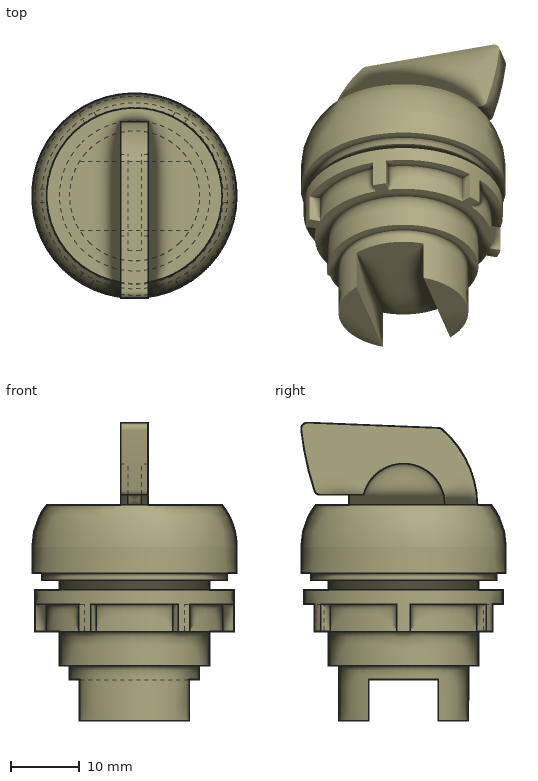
import cadquery as cq
import math

LEG_HEIGHT = 6.0
BODY_BOTTOM = 8.0
NUT_BOTTOM = 13.0
FLANGE_BOTTOM = 17.0
FLANGE_TOP = 19.1
COLLAR_BOTTOM = 20.5
HEAD_BOTTOM = 21.55
DOME_BOTTOM = 25.35
HEAD_TOP = 31.5

LEG_RADIUS = 9.5
BODY_RADIUS = 10.95
NUT_RADIUS = 12.9
FLANGE_RADIUS = 14.55
COLLAR_RADIUS = 13.57
HEAD_RADIUS = 29.9 / 2
HEAD_TOP_RADIUS = 12.8

LEG_GAP = 10.1

LUG_COUNT = 6
LUG_WIDTH = 1.95

HANDLE_WIDTH = 4.0
HANDLE_UNDERSIDE = 32.95
BACK_BASE_Y = 10.8
BACK_MIDDLE = (9.25, 37.8)
BACK_TOP = (5.4, 42.7)
NOSE_TOP = (-15.05, 43.55)
NOSE_MIDDLE = (-14.15, 37.63)
NOSE_BOTTOM = (-12.8, HANDLE_UNDERSIDE)
HANDLE_ROUND = 0.95
HUB_RADIUS = 6.0
WEB_WIDTH = 2.0
WEB_FRONT_Y = -7.95


def stage(radius, bottom, top):
    """Cylinder about the Z axis between two levels."""
    return cq.Workplane("XY").workplane(offset=bottom).circle(radius).extrude(top - bottom)


def make_head():
    """Cylindrical rim topped by a dome arc that leaves the rim vertically."""
    rise = HEAD_TOP - DOME_BOTTOM
    inset = HEAD_RADIUS - HEAD_TOP_RADIUS
    dome_radius = (rise**2 + inset**2) / (2 * inset)
    half_angle = math.asin(rise / dome_radius) / 2
    dome_middle = (
        HEAD_RADIUS - dome_radius * (1 - math.cos(half_angle)),
        DOME_BOTTOM + dome_radius * math.sin(half_angle),
    )
    return (
        cq.Workplane("XZ")
        .moveTo(0, HEAD_BOTTOM)
        .lineTo(HEAD_RADIUS, HEAD_BOTTOM)
        .lineTo(HEAD_RADIUS, DOME_BOTTOM)
        .threePointArc(dome_middle, (HEAD_TOP_RADIUS, HEAD_TOP))
        .lineTo(0, HEAD_TOP)
        .close()
        .revolve(360, (0, 0, 0), (0, 1, 0))
    )


def make_legs():
    """Bottom stage, split into two legs by a gap running along X."""
    gap = cq.Workplane("XY").box(2 * LEG_RADIUS, LEG_GAP, LEG_HEIGHT, centered=(True, True, False))
    return stage(LEG_RADIUS, 0, BODY_BOTTOM).cut(gap)


def make_nut():
    """Ring with a flange on top and evenly spaced lugs hanging from the flange."""
    nut = stage(NUT_RADIUS, NUT_BOTTOM, FLANGE_TOP)
    nut = nut.union(stage(FLANGE_RADIUS, FLANGE_BOTTOM, FLANGE_TOP))
    lug_limit = stage(FLANGE_RADIUS, NUT_BOTTOM, FLANGE_BOTTOM)
    bar = (
        cq.Workplane("XY")
        .workplane(offset=NUT_BOTTOM)
        .rect(2 * FLANGE_RADIUS, LUG_WIDTH)
        .extrude(FLANGE_BOTTOM - NUT_BOTTOM)
        .intersect(lug_limit)
    )
    for index in range(LUG_COUNT // 2):
        nut = nut.union(bar.rotate((0, 0, 0), (0, 0, 1), index * 360 / LUG_COUNT))
    return nut


def make_handle():
    """Overhanging grip, recessed on both sides around a thin central web."""
    grip = (
        cq.Workplane("YZ")
        .moveTo(BACK_BASE_Y, HEAD_TOP)
        .threePointArc(BACK_MIDDLE, BACK_TOP)
        .lineTo(*NOSE_TOP)
        .threePointArc(NOSE_MIDDLE, NOSE_BOTTOM)
        .lineTo(0, HANDLE_UNDERSIDE)
        .lineTo(0, HEAD_TOP)
        .close()
        .extrude(HANDLE_WIDTH / 2, both=True)
    )
    for y, z in (BACK_TOP, NOSE_TOP, NOSE_BOTTOM):
        grip = grip.edges(cq.selectors.NearestToPointSelector((0, y, z))).fillet(HANDLE_ROUND)

    recess = (
        cq.Workplane("YZ")
        .center(0, HEAD_TOP)
        .circle(HUB_RADIUS)
        .extrude(HANDLE_WIDTH / 2, both=True)
    )
    web_disc = (
        cq.Workplane("YZ")
        .center(0, HEAD_TOP)
        .circle(HUB_RADIUS)
        .extrude(WEB_WIDTH / 2, both=True)
    )
    above_head = stage(HEAD_RADIUS, HEAD_TOP, HEAD_TOP + HUB_RADIUS)
    web_foot = (
        cq.Workplane("XY")
        .workplane(offset=HEAD_TOP)
        .center(0, WEB_FRONT_Y / 2)
        .rect(WEB_WIDTH, -WEB_FRONT_Y)
        .extrude(HANDLE_UNDERSIDE - HEAD_TOP)
    )
    return grip.cut(recess).union(web_disc.intersect(above_head)).union(web_foot)


result = (
    make_legs()
    .union(stage(BODY_RADIUS, BODY_BOTTOM, HEAD_BOTTOM))
    .union(make_nut())
    .union(stage(COLLAR_RADIUS, COLLAR_BOTTOM, HEAD_BOTTOM))
    .union(make_head())
    .union(make_handle())
)